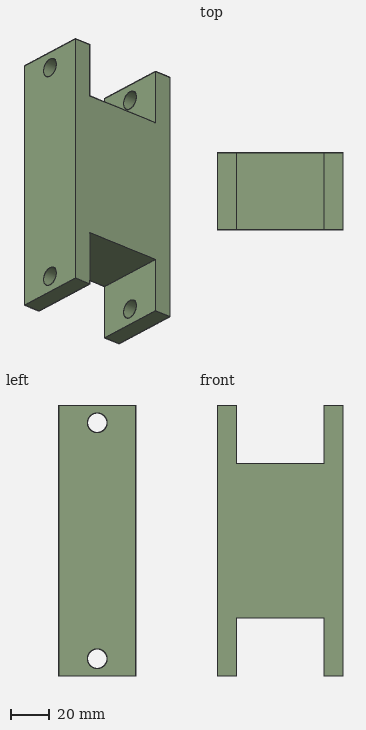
import cadquery as cq

width = 65.0
depth = 40.0
height = 140.0

plate_thickness = 10.0
notch_depth = 30.0
notch_width = width - 2 * plate_thickness

hole_diameter = 10.0
hole_end_distance = 9.0


def end_notch(side):
    """Slot cut through along Y at the top (side=1) or bottom (side=-1)."""
    center_z = side * (height - notch_depth) / 2
    return cq.Workplane("XY").box(notch_width, depth, notch_depth).translate((0, 0, center_z))


def cross_hole(side):
    """Hole along X through both plates at the top (side=1) or bottom (side=-1)."""
    center_z = side * (height / 2 - hole_end_distance)
    return (
        cq.Workplane("YZ")
        .center(0, center_z)
        .circle(hole_diameter / 2)
        .extrude(width / 2, both=True)
    )


result = cq.Workplane("XY").box(width, depth, height)
for side in (1, -1):
    result = result.cut(end_notch(side)).cut(cross_hole(side))